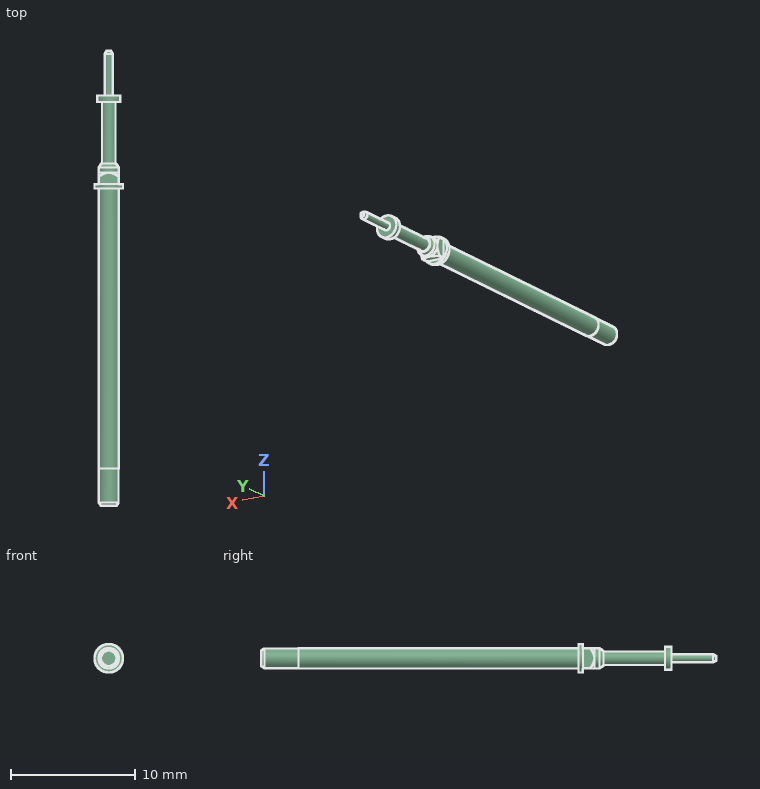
import cadquery as cq

total_length = 36.6
tip_y = total_length / 2
base_y = -total_length / 2

pin_diameter = 0.65
pin_chamfer_length = 0.25
pin_chamfer_depth = 0.15

collar_diameter = 1.85
collar_setback = 3.6
collar_thickness = 0.55

stem_diameter = 1.1

body_diameter = 1.65
flange_diameter = 2.3
flange_setback = 10.72
flange_thickness = 0.35
end_section_diameter = 1.6
end_section_length = 3.0
base_chamfer_length = 0.25
base_chamfer_depth = 0.2

nose_setback = 9.08
nose_chamfer_length = 0.33
nose_chamfer_depth = 0.22
nose_length = 0.75
cone_length = 0.3
head_width = body_diameter
head_corner_diameter = 2.27


def cylinder_along_y(diameter, start_y, end_y):
    """Solid round bar between two positions on the Y axis."""
    bar = cq.Workplane("XZ", origin=(0, end_y, 0)).circle(diameter / 2)
    return bar.extrude(end_y - start_y)


def revolve_about_y(half_profile):
    """Turn a half profile drawn in XY around the Y axis."""
    return half_profile.close().revolve(360, (0, 0, 0), (0, 1, 0))


collar_top_y = tip_y - collar_setback
collar_bottom_y = collar_top_y - collar_thickness
nose_y = tip_y - nose_setback
cone_start_y = nose_y - nose_length
cone_end_y = cone_start_y - cone_length
flange_top_y = tip_y - flange_setback
flange_bottom_y = flange_top_y - flange_thickness


def plunger():
    """Chamfered pin, collar and stem."""
    pin_radius = pin_diameter / 2
    pin = revolve_about_y(
        cq.Workplane("XY")
        .moveTo(0, collar_top_y)
        .lineTo(pin_radius, collar_top_y)
        .lineTo(pin_radius, tip_y - pin_chamfer_length)
        .lineTo(pin_radius - pin_chamfer_depth, tip_y)
        .lineTo(0, tip_y)
    )
    collar = cylinder_along_y(collar_diameter, collar_bottom_y, collar_top_y)
    stem = cylinder_along_y(stem_diameter, nose_y, collar_bottom_y)
    return pin.union(collar).union(stem)


def drive_head():
    """Chamfered round nose that widens through a cone into a square head."""
    nose_radius = body_diameter / 2
    corner_radius = head_corner_diameter / 2
    turned = revolve_about_y(
        cq.Workplane("XY")
        .moveTo(0, flange_top_y)
        .lineTo(corner_radius, flange_top_y)
        .lineTo(corner_radius, cone_end_y)
        .lineTo(nose_radius, cone_start_y)
        .lineTo(nose_radius, nose_y - nose_chamfer_length)
        .lineTo(nose_radius - nose_chamfer_depth, nose_y)
        .lineTo(0, nose_y)
    )
    square = cq.Workplane("XZ", origin=(0, nose_y, 0)).rect(head_width, head_width)
    return turned.intersect(square.extrude(nose_y - flange_top_y))


def barrel():
    """Stop flange and long body that steps down to a chamfered end section."""
    body_radius = body_diameter / 2
    end_radius = end_section_diameter / 2
    end_section_top_y = base_y + end_section_length
    body = revolve_about_y(
        cq.Workplane("XY")
        .moveTo(0, base_y)
        .lineTo(end_radius - base_chamfer_depth, base_y)
        .lineTo(end_radius, base_y + base_chamfer_length)
        .lineTo(end_radius, end_section_top_y)
        .lineTo(body_radius, end_section_top_y)
        .lineTo(body_radius, flange_bottom_y)
        .lineTo(0, flange_bottom_y)
    )
    flange = cylinder_along_y(flange_diameter, flange_bottom_y, flange_top_y)
    return body.union(flange)


result = barrel().union(drive_head()).union(plunger())